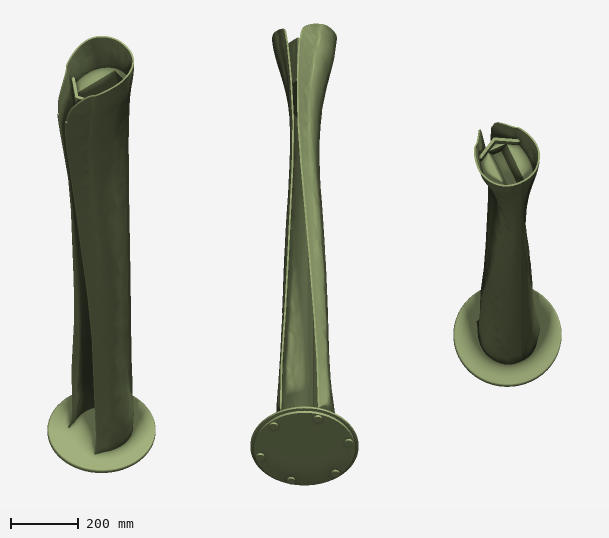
import cadquery as cq
import math

TOTAL_HEIGHT = 1740.0
BASE_RADIUS = 160.0
UNDERSIDE_RADIUS = 150.0
FOOT_HEIGHT = 7.0
UNDERSIDE_THICKNESS = 9.0
PLATE_THICKNESS = 10.0
RIM_FILLET = 5.0
FOOT_COUNT = 6
FOOT_RADIUS = 12.0
FOOT_CIRCLE_RADIUS = 134.0
PLATE_BOTTOM = FOOT_HEIGHT + UNDERSIDE_THICKNESS
BASE_TOP = PLATE_BOTTOM + PLATE_THICKNESS

SHEET = 5.0
FILL_DEPTH = 0.7
BACK_Y = 94.0
WIDEST_Y = 7.0
FLANK_DROP = 0.3
STATIONS = [
    (BASE_TOP, 87.0, 66.0, -75.0),
    (278.0, 78.0, 57.0, -68.0),
    (540.0, 68.0, 45.0, -68.0),
    (783.0, 61.0, 33.0, -80.0),
    (1010.0, 50.0, 21.0, -95.0),
    (1253.0, 40.0, 10.0, -115.0),
    (1462.0, 49.0, 14.0, -140.0),
    (1600.0, 73.0, 23.0, -150.0),
    (TOTAL_HEIGHT, 95.0, 35.0, -160.0),
]
MOUTH_START_Y = 52.0
MOUTH_CURVE = [(0.0, 1731.0), (-45.0, 1717.0), (-90.0, 1695.0), (-129.0, 1653.0), (-145.0, 1583.0)]
MOUTH_MARGIN = 52.0

BLOCK_TOP = 1613.0
LIP_TOP = 1643.0
LIP_DEPTH = 10.0
BLOCK_BOTTOM = 1462.0
BLOCK_NOSE_Y = -97.0
BLOCK_SHOULDER_Y = -65.0
BLOCK_SHOULDER_X = 60.0
RECESS_WIDTH = 61.0
RECESS_LENGTH = 146.0
RECESS_FLOOR_WIDTH = 28.0
RECESS_DEPTH = 52.0

RIB_WIDTH = 14.0
RIB_DEPTH = 9.0


def make_base():
    """Stepped disc with a rounded rim, on a ring of round feet."""
    base = (
        cq.Workplane("XY").workplane(offset=FOOT_HEIGHT)
        .circle(UNDERSIDE_RADIUS).extrude(UNDERSIDE_THICKNESS)
    )
    plate = (
        cq.Workplane("XY").workplane(offset=PLATE_BOTTOM)
        .circle(BASE_RADIUS).extrude(PLATE_THICKNESS)
        .faces(">Z").edges().fillet(RIM_FILLET)
    )
    base = base.union(plate)
    for i in range(FOOT_COUNT):
        angle = 2 * math.pi * i / FOOT_COUNT
        center = (FOOT_CIRCLE_RADIUS * math.cos(angle), FOOT_CIRCLE_RADIUS * math.sin(angle))
        foot = cq.Workplane("XY").center(*center).circle(FOOT_RADIUS).extrude(FOOT_HEIGHT)
        base = base.union(foot)
    return base


def side_curve(z, side, half_width, slit, front_y, back_y):
    """Curve on one side (-1 or 1), from the middle of the back to the slit edge."""
    depth = back_y - WIDEST_Y
    diagonal = math.sqrt(0.5)
    flank_x = half_width - FLANK_DROP * (half_width - slit)
    points = [
        cq.Vector(0, back_y, z),
        cq.Vector(side * half_width * diagonal, WIDEST_Y + depth * diagonal, z),
        cq.Vector(side * half_width, WIDEST_Y, z),
        cq.Vector(side * flank_x, (WIDEST_Y + front_y) / 2, z),
        cq.Vector(side * slit, front_y, z),
    ]
    along_back = cq.Vector(side, 0, 0)
    toward_slit = cq.Vector(side * (slit - half_width), front_y - WIDEST_Y, 0).normalized()
    return cq.Edge.makeSpline(points, tangents=[along_back, toward_slit])


def sheet_section(z, half_width, slit, front_y):
    """Closed outline of the thin sheet at height z."""
    outer_left, outer_right = [side_curve(z, side, half_width, slit, front_y, BACK_Y) for side in (-1, 1)]
    inner_left, inner_right = [
        side_curve(z, side, half_width - SHEET, slit - SHEET, front_y, BACK_Y - SHEET) for side in (-1, 1)
    ]
    left_cap = cq.Edge.makeLine(outer_left.endPoint(), inner_left.endPoint())
    right_cap = cq.Edge.makeLine(outer_right.endPoint(), inner_right.endPoint())
    return cq.Wire.assembleEdges([outer_left, left_cap, inner_left, inner_right, right_cap, outer_right])


def filled_section(z, half_width, slit, front_y):
    """Outline at height z, closed straight across the slit, running inside the sheet."""
    inset = FILL_DEPTH * SHEET
    left, right = [
        side_curve(z, side, half_width - inset, slit - inset, front_y, BACK_Y - inset) for side in (-1, 1)
    ]
    front = cq.Edge.makeLine(left.endPoint(), right.endPoint())
    return cq.Wire.assembleEdges([left, front, right])


def loft(section):
    return cq.Workplane(cq.Solid.makeLoft([section(*station) for station in STATIONS]))


def make_mouth_cutter():
    """Everything in front of and above the rounded mouth."""
    end_y, end_z = MOUTH_CURVE[-1]
    front_limit = end_y - MOUTH_MARGIN
    top_limit = TOTAL_HEIGHT + MOUTH_MARGIN
    return (
        cq.Workplane("YZ").moveTo(MOUTH_START_Y, TOTAL_HEIGHT)
        .spline(MOUTH_CURVE, tangents=[(-1, 0), (0, -1)], includeCurrent=True)
        .lineTo(front_limit, end_z)
        .lineTo(front_limit, top_limit)
        .lineTo(MOUTH_START_Y, top_limit)
        .close().extrude(BASE_RADIUS, both=True)
    )


def pointed_prism(nose_y, bottom, top):
    """Upright prism wider than the shade, with a pointed front at nose_y."""
    shoulder_y = nose_y + BLOCK_SHOULDER_Y - BLOCK_NOSE_Y
    return (
        cq.Workplane("XY").workplane(offset=bottom)
        .moveTo(0, nose_y)
        .lineTo(BLOCK_SHOULDER_X, shoulder_y)
        .lineTo(BASE_RADIUS, shoulder_y)
        .lineTo(BASE_RADIUS, BACK_Y)
        .lineTo(-BASE_RADIUS, BACK_Y)
        .lineTo(-BASE_RADIUS, shoulder_y)
        .lineTo(-BLOCK_SHOULDER_X, shoulder_y)
        .close().extrude(top - bottom)
    )


def make_lamp_block(interior):
    """Block filling the upper interior, with a lip along its front and a recess on top."""
    block = pointed_prism(BLOCK_NOSE_Y, BLOCK_BOTTOM, LIP_TOP)
    block = block.cut(pointed_prism(BLOCK_NOSE_Y + LIP_DEPTH, BLOCK_TOP, LIP_TOP))
    recess = (
        cq.Workplane("XZ").workplane(offset=-RECESS_LENGTH / 2)
        .moveTo(-RECESS_WIDTH / 2, BLOCK_TOP)
        .lineTo(-RECESS_FLOOR_WIDTH / 2, BLOCK_TOP - RECESS_DEPTH)
        .lineTo(RECESS_FLOOR_WIDTH / 2, BLOCK_TOP - RECESS_DEPTH)
        .lineTo(RECESS_WIDTH / 2, BLOCK_TOP)
        .close().extrude(RECESS_LENGTH)
    )
    return block.intersect(interior).cut(recess)


def make_back_rib(interior):
    rib_front = BACK_Y - SHEET - RIB_DEPTH
    rib = cq.Workplane("XY").box(
        RIB_WIDTH, BACK_Y - rib_front, BLOCK_BOTTOM - BASE_TOP, centered=(True, False, False)
    ).translate((0, rib_front, BASE_TOP))
    return rib.intersect(interior)


def make_shade():
    interior = loft(filled_section)
    shade = loft(sheet_section).cut(make_mouth_cutter())
    return shade.union(make_lamp_block(interior)).union(make_back_rib(interior))


base = make_base()
shade = make_shade()
result = cq.Compound.makeCompound([base.val(), *shade.vals()])